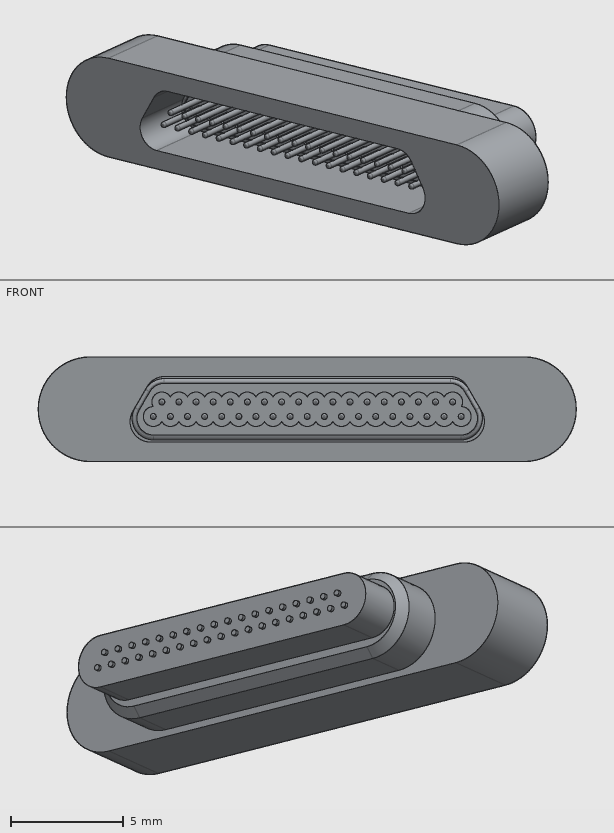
import cadquery as cq
import math

flange_length = 23.98
flange_height = 4.68
flange_depth = 3.7
collar_length = 17.0
collar_height = 4.03
collar_depth = 2.37
collar_chamfer = 0.43
tail_length = 16.0
tail_height = 2.45
tail_depth = 2.1
pin_tail = 0.15

socket_height = 2.93
socket_bottom_half = 8.55
socket_corner = 0.9
insulator_corner = 0.95
side_lean = math.radians(30)
insulator_gap = 0.1
insulator_round = 0.17
rim_width = 0.22
rim_step = 0.07
rim_y = 2.88

lower_row_length = 13.72
row_spacing = 0.65
lower_count = 19
pin_diameter = 0.26
pin_tip_round = 0.1
pin_tip_y = 0.29
recess_diameter = 0.89
recess_depth = 0.15

collar_start = flange_depth
insulator_face_y = rim_y + rim_step
tail_start = collar_start + collar_depth
tail_end = tail_start + tail_depth
pin_length = tail_end + pin_tail - pin_tip_y
contact_pitch = lower_row_length / (lower_count - 1)


def plane_at(y):
    """Sketch plane at depth y: local axes are +X and +Z, and a negative extrusion runs toward +Y."""
    return cq.Workplane("XZ", origin=(0, y, 0))


def stadium(length, height, start, depth):
    return plane_at(start).slot2D(length, height).extrude(-depth)


def d_block(gap, side_gap, corner, start, depth):
    """Rounded trapezoid, wide at the bottom, inset by gap at top and bottom and by side_gap at the sides."""
    half_height = socket_height / 2 - gap
    bottom_half = socket_bottom_half - side_gap / math.cos(side_lean) - gap * math.tan(side_lean)
    top_half = bottom_half - 2 * half_height * math.tan(side_lean)
    outline = [
        (-bottom_half, -half_height),
        (bottom_half, -half_height),
        (top_half, half_height),
        (-top_half, half_height),
    ]
    block = plane_at(start).polyline(outline).close().extrude(-depth)
    return block.edges("|Y").fillet(corner)


def contact_points():
    """Centres of the lower row and of the upper row, which has one contact less."""
    points = []
    for count, z in ((lower_count, -row_spacing / 2), (lower_count - 1, row_spacing / 2)):
        for i in range(count):
            points.append(((i - (count - 1) / 2) * contact_pitch, z))
    return points


def make_shell():
    flange = stadium(flange_length, flange_height, 0, flange_depth)
    collar = stadium(collar_length, collar_height, collar_start, collar_depth)
    collar = collar.faces(">Y").edges().chamfer(collar_chamfer)
    tail = stadium(tail_length, tail_height, tail_start, tail_depth)
    socket = d_block(0, 0, socket_corner, 0, flange_depth)
    return flange.union(collar).union(tail).cut(socket)


def make_insulator():
    """Block with a rounded rim around a slightly sunken face, and a round recess around every contact."""
    block = d_block(insulator_gap, 0, insulator_corner, rim_y, flange_depth - rim_y)
    block = block.faces("<Y").edges().fillet(insulator_round)
    face_corner = insulator_corner - rim_width
    block = block.cut(d_block(insulator_gap + rim_width, rim_width, face_corner, rim_y, rim_step))
    recess = plane_at(insulator_face_y)
    for x, z in contact_points():
        cutter = recess.center(x, z).circle(recess_diameter / 2).extrude(-recess_depth)
        block = block.cut(cutter)
    return block


def make_pins():
    """Straight pins with a rounded tip on the mating side."""
    pin = plane_at(pin_tip_y).circle(pin_diameter / 2).extrude(-pin_length)
    pin = pin.faces("<Y").edges().fillet(pin_tip_round).val()
    pins = [pin.translate(cq.Vector(x, 0, z)) for x, z in contact_points()]
    return cq.Workplane(cq.Compound.makeCompound(pins))


result = make_shell().union(make_insulator()).union(make_pins())